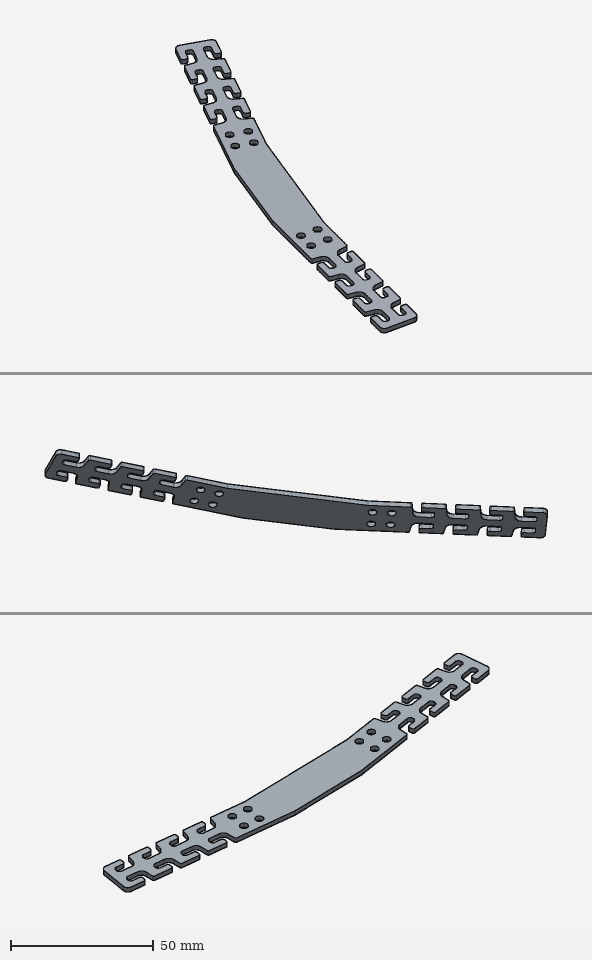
import cadquery as cq
import math

overall_length = 179.5
thickness = 2.0

middle_height = 16.2
lower_bend_x = 16.5

arm_angle = math.radians(7.5)
arm_width = 14.9
end_radius = 1.8

slot_count = 4
slot_pitch = 12.0
slot_wall_start = 26.2
wall_slant = math.radians(8)
mouth_width = 3.5
slot_length = 8.3
tooth_height = 2.7
channel_width = 2.9
closed_end_radius = 1.0
floor_radius = 2.3
tooth_inner_radius = 0.9
edge_corner_radius = 0.5

hole_diameter = 3.0
hole_spacing = 6.8
hole_group_center = 16.0

end_corner_reach = overall_length / 2 - end_radius + end_radius * math.sin(arm_angle)
arm_length = end_radius + (end_corner_reach - lower_bend_x) / math.cos(arm_angle)

upper_bend_distance = (middle_height - arm_width * math.cos(arm_angle)) / math.sin(arm_angle)
upper_bend_x = (
    lower_bend_x
    - arm_width * math.sin(arm_angle)
    + upper_bend_distance * math.cos(arm_angle)
)


def corner(x, y):
    """Vertical edge passing through (x, y)."""
    margin = 0.02
    return cq.selectors.BoxSelector(
        (x - margin, y - margin, -margin),
        (x + margin, y + margin, thickness + margin),
    )


def lower_slot():
    """Cutter for one hooked slot, its inner wall meeting the lower edge at the origin."""
    floor_y = tooth_height + channel_width
    floor_x = floor_y * math.tan(wall_slant)
    return (
        cq.Workplane("XY")
        .polyline([
            (0, 0),
            (mouth_width, 0),
            (mouth_width, tooth_height),
            (slot_length, tooth_height),
            (slot_length, floor_y),
            (floor_x, floor_y),
        ])
        .close()
        .extrude(thickness)
        .edges(corner(mouth_width, tooth_height)).fillet(tooth_inner_radius)
        .edges(corner(slot_length, tooth_height)).fillet(closed_end_radius)
        .edges(corner(slot_length, floor_y)).fillet(closed_end_radius)
        .edges(corner(floor_x, floor_y)).fillet(floor_radius)
    )


def straight_arm():
    """Arm lying along +X, from its lower root corner at the origin."""
    arm = cq.Workplane("XY").rect(arm_length, arm_width, centered=False).extrude(thickness)
    lower = lower_slot()
    upper = lower.mirror("XZ").translate((0, arm_width, 0))
    for index in range(slot_count):
        slot_x = slot_wall_start + index * slot_pitch
        arm = arm.cut(lower.translate((slot_x, 0, 0)))
        arm = arm.cut(upper.translate((slot_x, 0, 0)))

    for edge_y in (0, arm_width):
        for index in range(slot_count):
            wall_x = slot_wall_start + index * slot_pitch
            for mouth_x in (wall_x, wall_x + mouth_width):
                arm = arm.edges(corner(mouth_x, edge_y)).fillet(edge_corner_radius)
        arm = arm.edges(corner(arm_length, edge_y)).fillet(end_radius)
    return arm


def arm_holes():
    """Cutters for the four holes, placed in the straight arm's position."""
    return (
        cq.Workplane("XY")
        .center(hole_group_center, arm_width / 2)
        .rect(hole_spacing, hole_spacing, forConstruction=True)
        .vertices()
        .circle(hole_diameter / 2)
        .extrude(thickness)
    )


def tilted(body):
    """Move a body from the straight arm's position to the right-hand arm."""
    return body.rotate((0, 0, 0), (0, 0, 1), math.degrees(arm_angle)).translate((lower_bend_x, 0, 0))


middle = (
    cq.Workplane("XY")
    .polyline([
        (-lower_bend_x, 0),
        (lower_bend_x, 0),
        (upper_bend_x, middle_height),
        (-upper_bend_x, middle_height),
    ])
    .close()
    .extrude(thickness)
)
right_arm = tilted(straight_arm())
right_holes = tilted(arm_holes())

result = (
    middle
    .union(right_arm)
    .union(right_arm.mirror("YZ"))
    .cut(right_holes)
    .cut(right_holes.mirror("YZ"))
    .clean()
)